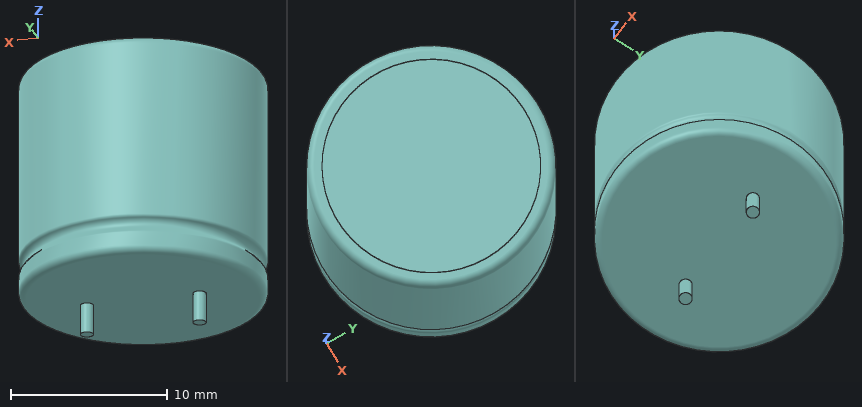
import cadquery as cq
import math

total_height = 17.0
lead_length = 2.0
can_height = total_height - lead_length
can_radius = 16.0 / 2
edge_radius = 0.5

recess_radius = 7.0
recess_depth = 0.1

groove_height = 2.02
groove_half_width = 0.63
groove_radius = 0.5
lip_radius = 0.25

lead_diameter = 0.85
lead_spacing = 7.5


def make_can():
    """Solid can with rounded top and bottom edges."""
    can = cq.Workplane("XY").circle(can_radius).extrude(can_height)
    return can.edges().fillet(edge_radius)


def make_groove():
    """Ring cutter whose section is a concave arc tangent to two convex lip arcs."""
    arc_sum = groove_radius + lip_radius
    angle = math.asin(groove_half_width / arc_sum)
    depth = arc_sum * (1 - math.cos(angle))
    tangent_x = can_radius - lip_radius * (1 - math.cos(angle))
    tangent_z = groove_radius * math.sin(angle)
    lip_mid_x = can_radius - lip_radius * (1 - math.cos(angle / 2))
    lip_mid_z = groove_half_width - lip_radius * math.sin(angle / 2)
    outer_radius = can_radius + lip_radius

    section = (
        cq.Workplane("XZ", origin=(0, 0, groove_height))
        .moveTo(outer_radius, -groove_half_width)
        .lineTo(can_radius, -groove_half_width)
        .threePointArc((lip_mid_x, -lip_mid_z), (tangent_x, -tangent_z))
        .threePointArc((can_radius - depth, 0), (tangent_x, tangent_z))
        .threePointArc((lip_mid_x, lip_mid_z), (can_radius, groove_half_width))
        .lineTo(outer_radius, groove_half_width)
        .close()
    )
    return section.revolve(360, (0, 0, 0), (0, 1, 0))


def make_recess():
    """Round cutter reaching down from the top face."""
    top = cq.Workplane("XY").workplane(offset=can_height)
    return top.circle(recess_radius).extrude(-recess_depth)


def make_leads():
    """Two round leads hanging below the can, spaced along X."""
    lead_points = [(-lead_spacing / 2, 0), (lead_spacing / 2, 0)]
    return cq.Workplane("XY").pushPoints(lead_points).circle(lead_diameter / 2).extrude(-lead_length)


result = make_can().cut(make_groove()).cut(make_recess()).union(make_leads())